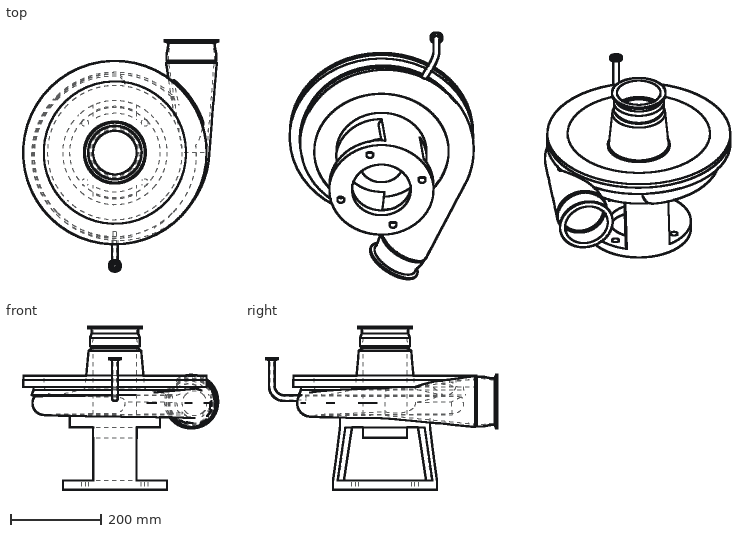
import cadquery as cq
import math


base_thickness = 21.0
hub_bottom = 116.0
plate_bottom = 139.0
plate_top = 166.0
rim_bottom = 228.0
lid_bottom = 244.5
lid_top = 254.0
inlet_face = 362.5

base_radius = 116.0
base_bore_radius = 65.5
bolt_circle_radius = 93.5
bolt_hole_radius = 7.5
bolt_start_angle = 45
bolt_count = 4
plate_radius = 100.5
leg_width = 97.0
leg_thickness = 13.0
hub_radius = 49.0

rim_radius = 204.0
lid_radius = 203.5
drum_radius = 149.5
neck_radius = 180.5
neck_offset = -6.0
neck_height = 5.5
shoulder_width = 4.0
shoulder_height = 11.5
dish_radius = 158.0
dish_wall_height = 19.0
dish_fillet = 24.5
dish_floor_angle = math.radians(12)
inlet_foot_radius = 66.5
inlet_foot_fillet = 2.5

volute_height = 192.5
volute_start_angle = 90
volute_quarters = 3
sections_per_quarter = 3
volute_start_radius = 22.5
volute_growth = 3.5
volute_start_reach = 174.5
volute_reach_growth = 7.0
volute_reach_bend = 1.5

outlet_x = 170.0
outlet_height = 196.0
outlet_face = 250.0
pipe_end = 199.0
pipe_end_radius = 56.5
pipe_wall = 6.0
rim_clearance = 3.5

ferrule_flange_radius = 59.5
ferrule_flange_thickness = 3.5
ferrule_neck_radius = 52.0
ferrule_barrel_radius = 55.5
ferrule_bore_radius = 48.5
ferrule_relief_radius = 51.0
ferrule_groove_width = 2.5
groove_slope = 2.5

inlet_taper_start = 15.5
inlet_taper_end = 24.5
inlet_barrel_end = 43.0
inlet_flange_taper = 0.5
inlet_cone_radius = 58.5
inlet_cone_depth = 54.0
inlet_relief_start = 28.5
inlet_relief_full = 38.5
inlet_relief_end = 47.5

outlet_taper_start = 14.0
outlet_taper_end = 32.5
outlet_barrel_end = 46.5
outlet_flange_taper = 3.0

drain_height = 204.0
drain_y = -251.0
drain_top = 293.0
drain_radius = 6.5
drain_bore_radius = 4.0
drain_bend_radius = 27.5
drain_root_y = -175.0
drain_flange_radius = 13.5
drain_flange_thickness = 2.5
drain_cone_height = 2.0
seal_groove_inner = 7.0
seal_groove_outer = 11.0
seal_groove_depth = 1.0


def disc(radius, bottom, top):
    """Upright cylinder on the pump axis."""
    return cq.Workplane("XY").workplane(offset=bottom).circle(radius).extrude(top - bottom)


def revolve_about_z(outline):
    """Turn a closed (radius, height) outline about the pump axis."""
    return outline.close().revolve(360, (0, 0, 0), (0, 1, 0))


def turned(points):
    """Solid of revolution with straight (radius, height) edges."""
    return revolve_about_z(cq.Workplane("XZ").polyline(points))


def to_outlet(solid):
    """Move a solid built facing +Z at the origin onto the outlet face, facing +Y."""
    return solid.rotate((0, 0, 0), (1, 0, 0), -90).translate((outlet_x, outlet_face, outlet_height))


def base():
    """Base ring with four bolt holes."""
    ring = disc(base_radius, 0, base_thickness).cut(disc(base_bore_radius, 0, base_thickness))
    holes = (
        cq.Workplane("XY")
        .polarArray(bolt_circle_radius, bolt_start_angle, 360, bolt_count)
        .circle(bolt_hole_radius)
        .extrude(base_thickness)
    )
    return ring.cut(holes)


def legs():
    """Two legs cut from a conical shell between the base and the hub plate."""
    shell = turned([
        (base_radius - leg_thickness, base_thickness),
        (base_radius, base_thickness),
        (plate_radius, plate_bottom),
        (plate_radius - leg_thickness, plate_bottom),
    ])
    strip = cq.Workplane("XY").box(leg_width, 2 * base_radius, plate_bottom, centered=(True, True, False))
    return shell.intersect(strip)


def body():
    """Hub, plate, drum, eccentric neck with its sloping shoulder, clamping rim and lid."""
    neck_bottom = rim_bottom - neck_height
    neck = turned([
        (0, rim_bottom),
        (neck_radius, rim_bottom),
        (neck_radius, neck_bottom),
        (neck_radius + shoulder_width, neck_bottom - shoulder_height),
        (drum_radius, volute_height),
        (0, volute_height),
    ]).translate((0, neck_offset, 0))
    return (
        disc(hub_radius, hub_bottom, plate_bottom)
        .union(disc(plate_radius, plate_bottom, plate_top))
        .union(disc(drum_radius, plate_top, rim_bottom))
        .union(neck)
        .union(disc(rim_radius, rim_bottom, lid_bottom))
        .union(disc(lid_radius, lid_bottom, lid_top))
    )


def volute_radius(quarters):
    """Section radius after a number of quarter turns."""
    return volute_start_radius + volute_growth * quarters


def volute_reach(quarters):
    """Distance from the pump axis to the outermost point of the section."""
    return volute_start_reach + volute_reach_growth * quarters + volute_reach_bend * quarters**2


def volute():
    """Loft of round sections around the pump axis, with a rounded start."""
    sections = []
    for step in range(volute_quarters * sections_per_quarter + 1):
        quarters = step / sections_per_quarter
        angle = math.radians(volute_start_angle + 90 * quarters)
        radius = volute_radius(quarters)
        arm = volute_reach(quarters) - radius
        center = cq.Vector(arm * math.cos(angle), arm * math.sin(angle), volute_height)
        along = cq.Vector(-math.sin(angle), math.cos(angle), 0)
        sections.append(cq.Wire.makeCircle(radius, center, along))
    start_arm = volute_start_reach - volute_start_radius
    start_ball = cq.Workplane("XY").sphere(volute_start_radius).translate((0, start_arm, volute_height))
    return cq.Workplane(cq.Solid.makeLoft(sections)).union(start_ball)


def discharge_cone(wall):
    """Cone from the last volute section to the outlet, inset by a wall thickness."""
    radius = volute_radius(volute_quarters)
    start = cq.Vector(volute_reach(volute_quarters) - radius, 0, volute_height)
    end = cq.Vector(outlet_x, pipe_end, outlet_height)
    along = cq.Vector(0, 1, 0)
    wires = [
        cq.Wire.makeCircle(radius - wall, start, along),
        cq.Wire.makeCircle(pipe_end_radius - wall, end, along),
    ]
    return cq.Workplane(cq.Solid.makeLoft(wires, True))


def discharge_pipe():
    """Discharge cone, notched to clear the casing rim."""
    notch = disc(rim_radius + rim_clearance, rim_bottom, lid_top)
    return discharge_cone(0).cut(notch)


def ferrule(flange_taper, taper_start, taper_end, barrel_end, root_radius, root_depth):
    """Ferrule with its face at Z = 0, reaching down to the given root."""
    groove_start = barrel_end + groove_slope
    return turned([
        (0, 0),
        (ferrule_flange_radius, 0),
        (ferrule_flange_radius, -ferrule_flange_thickness),
        (ferrule_neck_radius, -ferrule_flange_thickness - flange_taper),
        (ferrule_neck_radius, -taper_start),
        (ferrule_barrel_radius, -taper_end),
        (ferrule_barrel_radius, -barrel_end),
        (ferrule_neck_radius, -groove_start),
        (ferrule_neck_radius, -groove_start - ferrule_groove_width),
        (root_radius, -root_depth),
        (0, -root_depth),
    ])


def ferrule_bore(relief_start, relief_full, relief_end, depth):
    """Bore with a shallow relief inside the barrel."""
    return turned([
        (0, 0),
        (ferrule_bore_radius, 0),
        (ferrule_bore_radius, -relief_start),
        (ferrule_relief_radius, -relief_full),
        (ferrule_relief_radius, -relief_end),
        (ferrule_bore_radius, -relief_end - groove_slope),
        (ferrule_bore_radius, -depth),
        (0, -depth),
    ])


dish_arc_top = lid_top - dish_wall_height
dish_arc_center = dish_radius - dish_fillet
floor_edge_radius = dish_arc_center - dish_fillet * math.sin(dish_floor_angle)
floor_edge_height = dish_arc_top - dish_fillet * math.cos(dish_floor_angle)
inlet_foot_height = floor_edge_height + (floor_edge_radius - inlet_foot_radius) * math.tan(dish_floor_angle)


def dish():
    """Recess in the lid around the inlet: upright wall, round corner and conical floor."""
    middle_angle = -(math.pi / 2 + dish_floor_angle) / 2
    arc_middle = (
        dish_arc_center + dish_fillet * math.cos(middle_angle),
        dish_arc_top + dish_fillet * math.sin(middle_angle),
    )
    outline = (
        cq.Workplane("XZ")
        .moveTo(0, lid_top)
        .lineTo(dish_radius, lid_top)
        .lineTo(dish_radius, dish_arc_top)
        .threePointArc(arc_middle, (floor_edge_radius, floor_edge_height))
        .lineTo(inlet_foot_radius, inlet_foot_height)
        .lineTo(0, inlet_foot_height)
    )
    return revolve_about_z(outline)


def inlet():
    """Inlet ferrule on its conical neck, with a small flare at the foot."""
    top = ferrule(
        inlet_flange_taper,
        inlet_taper_start,
        inlet_taper_end,
        inlet_barrel_end,
        inlet_cone_radius,
        inlet_cone_depth,
    ).translate((0, 0, inlet_face))
    flare_radius = inlet_foot_radius + inlet_foot_fillet
    neck = turned([
        (0, inlet_face - inlet_cone_depth),
        (inlet_cone_radius, inlet_face - inlet_cone_depth),
        (inlet_foot_radius, inlet_foot_height + inlet_foot_fillet),
        (flare_radius, inlet_foot_height - inlet_foot_fillet * math.tan(dish_floor_angle)),
        (0, plate_top),
    ])
    return top.union(neck)


def inlet_bore():
    """Inlet bore down to the back wall of the casing."""
    return ferrule_bore(
        inlet_relief_start, inlet_relief_full, inlet_relief_end, inlet_face - plate_top
    ).translate((0, 0, inlet_face))


def outlet():
    """Outlet ferrule on the end of the discharge cone."""
    depth = outlet_face - pipe_end
    solid = ferrule(
        outlet_flange_taper,
        outlet_taper_start,
        outlet_taper_end,
        outlet_barrel_end,
        pipe_end_radius,
        depth,
    )
    return to_outlet(solid)


def outlet_bore():
    """Outlet bore, carried on down the discharge cone."""
    depth = outlet_face - pipe_end
    mouth = ferrule_bore(outlet_taper_start, outlet_taper_end, outlet_barrel_end, depth)
    return to_outlet(mouth).union(discharge_cone(pipe_wall))


def drain_tube(radius, top):
    """Round tube that leaves the volute along -Y and bends upward."""
    bend_middle = drain_bend_radius * math.sin(math.radians(45))
    bend_center_y = drain_y + drain_bend_radius
    bend_center_z = drain_height + drain_bend_radius
    path = (
        cq.Workplane("YZ")
        .moveTo(drain_root_y, drain_height)
        .lineTo(bend_center_y, drain_height)
        .threePointArc(
            (bend_center_y - bend_middle, bend_center_z - bend_middle),
            (drain_y, bend_center_z),
        )
        .lineTo(drain_y, top)
    )
    return cq.Workplane("XZ", origin=(0, drain_root_y, drain_height)).circle(radius).sweep(path)


def drain_flange():
    """Flange with a coned underside and a seal groove in its face."""
    cone_bottom = drain_top - drain_flange_thickness - drain_cone_height
    groove_floor = drain_top - seal_groove_depth
    return turned([
        (0, cone_bottom),
        (drain_radius, cone_bottom),
        (drain_flange_radius, drain_top - drain_flange_thickness),
        (drain_flange_radius, drain_top),
        (seal_groove_outer, drain_top),
        (seal_groove_outer, groove_floor),
        (seal_groove_inner, groove_floor),
        (seal_groove_inner, drain_top),
        (0, drain_top),
    ]).translate((0, drain_y, 0))


drain_tube_top = drain_top - drain_flange_thickness

result = (
    body()
    .union(volute())
    .union(discharge_pipe())
    .union(outlet())
    .cut(dish())
    .union(inlet())
    .union(base())
    .union(legs())
    .union(drain_tube(drain_radius, drain_tube_top))
    .union(drain_flange())
    .cut(inlet_bore())
    .cut(outlet_bore())
    .cut(drain_tube(drain_bore_radius, drain_top))
)